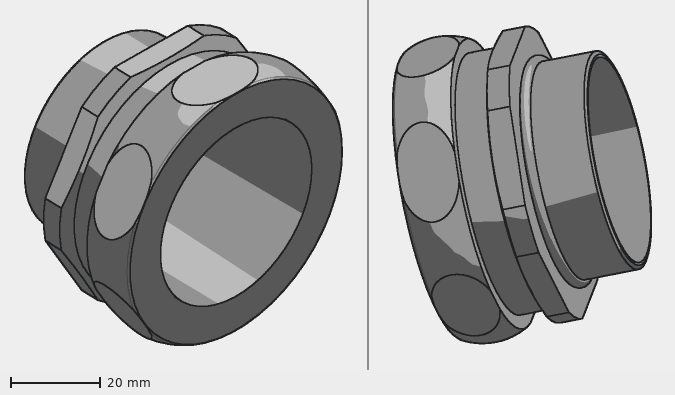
import cadquery as cq


spigot_end_chamfer = 0.5
collar_face_x = 15.4
collar_bevel_x = 20.65
neck_start_x = 21.8
nut_start_x = 29.25
total_length = 43.0

bore_diameter = 47.0
spigot_tip_diameter = 48.2
spigot_diameter = 50.0
ring_outer_diameter = 53.2
neck_diameter = 60.0
collar_corner_diameter = 66.8
nut_rim_diameter = 66.3
nut_crown_diameter = 69.8

ring_section_diameter = 2.45
ring_section_radius = ring_section_diameter / 2

hex_sides = 6
hex_turn = 180 / hex_sides
collar_across_flats = 62.8
nut_across_flats = 66.0

nut_bevel_length = 0.55
nut_bevel_start_diameter = 66.9
nut_bevel_end_diameter = 65.9


def revolve_about_x(profile):
    """Turn a closed (x, radius) profile around the X axis."""
    return profile.close().revolve(360, (0, 0, 0), (1, 0, 0))


def cylinder(start_x, end_x, diameter):
    return cq.Workplane("YZ", origin=(start_x, 0, 0)).circle(diameter / 2).extrude(end_x - start_x)


def hexagon(start_x, end_x, across_flats):
    """Hexagonal prism along X, turned to put flats on +Z and -Z."""
    return (
        cq.Workplane("YZ", origin=(start_x, 0, 0))
        .polygon(hex_sides, across_flats, circumscribed=True)
        .extrude(end_x - start_x)
        .rotate((0, 0, 0), (1, 0, 0), hex_turn)
    )


def spigot():
    return cylinder(0, collar_face_x, spigot_diameter).cut(
        revolve_about_x(
            cq.Workplane("XY")
            .moveTo(0, spigot_tip_diameter / 2)
            .lineTo(0, spigot_diameter / 2)
            .lineTo(spigot_end_chamfer, spigot_diameter / 2)
        )
    )


def seal_ring():
    """O-ring seated on the spigot against the collar face."""
    center_x = collar_face_x - ring_section_radius
    center_radius = ring_outer_diameter / 2 - ring_section_radius
    section = cq.Workplane("XY").center(center_x, center_radius).circle(ring_section_radius)
    return section.revolve(360, (0, -center_radius, 0), (1, -center_radius, 0))


def hex_collar():
    """Hexagon with turned corners and a bevel running down to the neck."""
    turned_blank = revolve_about_x(
        cq.Workplane("XY")
        .moveTo(collar_face_x, 0)
        .lineTo(collar_face_x, collar_corner_diameter / 2)
        .lineTo(collar_bevel_x, collar_corner_diameter / 2)
        .lineTo(neck_start_x, neck_diameter / 2)
        .lineTo(neck_start_x, 0)
    )
    return turned_blank.intersect(hexagon(collar_face_x, neck_start_x, collar_across_flats))


def crowned_nut():
    """Barrel-shaped nut whose six flats show as ovals."""
    crown_x = (nut_start_x + total_length) / 2
    bevel_x = total_length - nut_bevel_length
    turned_blank = revolve_about_x(
        cq.Workplane("XY")
        .moveTo(nut_start_x, 0)
        .lineTo(nut_start_x, nut_rim_diameter / 2)
        .threePointArc((crown_x, nut_crown_diameter / 2), (bevel_x, nut_bevel_start_diameter / 2))
        .lineTo(total_length, nut_bevel_end_diameter / 2)
        .lineTo(total_length, 0)
    )
    return turned_blank.intersect(hexagon(nut_start_x, total_length, nut_across_flats))


neck = cylinder(neck_start_x, nut_start_x, neck_diameter)
bore = cylinder(0, total_length, bore_diameter)

result = (
    spigot()
    .union(seal_ring())
    .union(hex_collar())
    .union(neck)
    .union(crowned_nut())
    .cut(bore)
)